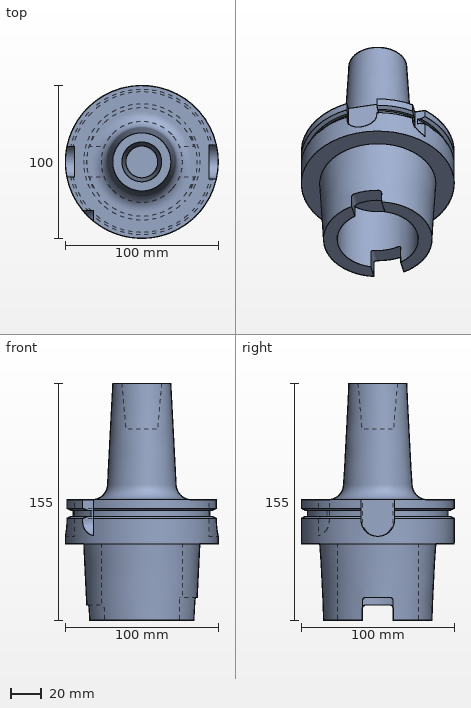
import cadquery as cq
import math

total_height = 155.0
shank_length = 50.0
flange_thickness = 29.0
flange_top = shank_length + flange_thickness

shank_end_radius = 35.5
shank_top_radius = 38.0
shank_bore_radius = 26.5
shank_bore_depth = shank_length

flange_radius = 50.0
groove_height_on_flange = 20.0
groove_centre = shank_length + groove_height_on_flange
groove_floor_radius = 46.0
groove_wall_radius = 47.5
groove_floor_width = 4.0
groove_mouth_width = 6.6

nose_tip_radius = 19.0
nose_angle = math.radians(3.0)
base_fillet = 10.0

bore_mouth_radius = 13.0
bore_angle = math.radians(5.0)
bore_depth = 30.0
bore_floor_radius = bore_mouth_radius - bore_depth * math.tan(bore_angle)

slot_bottom = 55.0
drive_slot_floor = 44.0
narrow_slot_width = 20.0
wide_slot_width = 22.0
corner_notch_offset = 31.7
corner_notch_centre_y = -corner_notch_offset - narrow_slot_width / 2

keyway_width = 20.0
keyway_corner = 2.0
short_keyway_height = 10.0
tall_keyway_height = 15.0


def make_body():
    """Revolve the outer profile of shank, flange, groove, fillet and nose."""
    floor_low = groove_centre - groove_floor_width / 2
    floor_high = groove_centre + groove_floor_width / 2
    mouth_low = groove_centre - groove_mouth_width / 2
    mouth_high = groove_centre + groove_mouth_width / 2

    tangent_height = flange_top + base_fillet * (1 - math.sin(nose_angle))
    tangent_radius = nose_tip_radius + (total_height - tangent_height) * math.tan(nose_angle)
    fillet_outer_radius = tangent_radius + base_fillet * math.cos(nose_angle)

    profile = (
        cq.Workplane("XZ")
        .moveTo(0, 0)
        .lineTo(shank_end_radius, 0)
        .lineTo(shank_top_radius, shank_length)
        .lineTo(flange_radius, shank_length)
        .lineTo(flange_radius, mouth_low)
        .lineTo(groove_wall_radius, floor_low)
        .lineTo(groove_floor_radius, floor_low)
        .lineTo(groove_floor_radius, floor_high)
        .lineTo(groove_wall_radius, floor_high)
        .lineTo(flange_radius, mouth_high)
        .lineTo(flange_radius, flange_top)
        .lineTo(fillet_outer_radius, flange_top)
        .tangentArcPoint((tangent_radius, tangent_height), relative=False)
        .lineTo(nose_tip_radius, total_height)
        .lineTo(0, total_height)
        .close()
    )
    return profile.revolve(360, (0, 0, 0), (0, 1, 0))


def make_collet_bore():
    """Blind tapered bore with a flat floor, opening at the nose tip."""
    bore_floor = total_height - bore_depth
    profile = (
        cq.Workplane("XZ")
        .moveTo(0, bore_floor)
        .lineTo(bore_floor_radius, bore_floor)
        .lineTo(bore_mouth_radius, total_height)
        .lineTo(0, total_height)
        .close()
    )
    return profile.revolve(360, (0, 0, 0), (0, 1, 0))


def make_shank_bore():
    """Plain bore that hollows the shank from its open end."""
    return cq.Workplane("XY").circle(shank_bore_radius).extrude(shank_bore_depth)


def make_rim_slot(side, floor, width, centre_y):
    """Slot along X, open at the flange top, from |x| = floor out past the rim."""
    radius = width / 2
    arc_height = slot_bottom + radius
    profile = (
        cq.Workplane("YZ", origin=(side * floor, 0, 0))
        .moveTo(centre_y - radius, flange_top)
        .lineTo(centre_y - radius, arc_height)
        .threePointArc((centre_y, slot_bottom), (centre_y + radius, arc_height))
        .lineTo(centre_y + radius, flange_top)
        .close()
    )
    return profile.extrude(side * flange_radius)


def make_keyway(side, height):
    """Drive keyway through the shank wall on one side, with rounded upper corners."""
    return (
        cq.Workplane("XY")
        .center(side * flange_radius / 2, 0)
        .rect(flange_radius, keyway_width)
        .extrude(height)
        .edges("|X and >Z")
        .fillet(keyway_corner)
    )


cutters = [
    make_collet_bore(),
    make_shank_bore(),
    make_rim_slot(-1, drive_slot_floor, narrow_slot_width, 0),
    make_rim_slot(1, drive_slot_floor, wide_slot_width, 0),
    make_rim_slot(-1, corner_notch_offset, narrow_slot_width, corner_notch_centre_y),
    make_keyway(-1, short_keyway_height),
    make_keyway(1, tall_keyway_height),
]

result = make_body()
for cutter in cutters:
    result = result.cut(cutter)